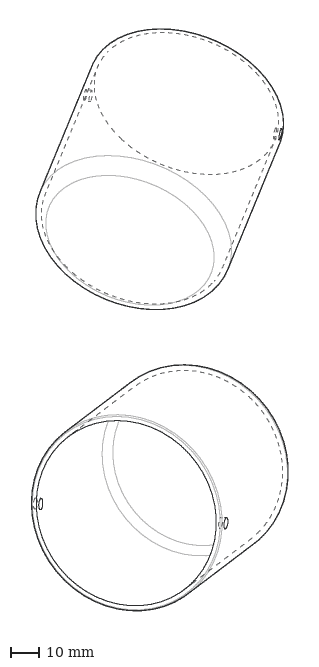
import cadquery as cq

outer_diameter = 72.0
length = 72.0
wall = 2.0
base_round = 5.0
rim_round = 0.5

hole_diameter = 4.0
hole_from_rim = 4.5
hole_height = -1.3

closed_end_y = -length / 2
open_end_y = length / 2
inner_diameter = outer_diameter - 2 * wall


def cylinder_along_y(diameter, start_y, end_y):
    base = cq.Workplane("XZ", origin=(0, start_y, 0))
    return base.circle(diameter / 2).extrude(start_y - end_y)


body = cylinder_along_y(outer_diameter, closed_end_y, open_end_y)
body = body.faces("<Y").edges().fillet(base_round)
body = body.faces(">Y").edges().fillet(rim_round)

cavity = cylinder_along_y(inner_diameter, closed_end_y + wall, open_end_y)
cavity = cavity.faces("<Y").edges().fillet(base_round - wall)

hole = (
    cq.Workplane("YZ", origin=(0, open_end_y - hole_from_rim, hole_height))
    .circle(hole_diameter / 2)
    .extrude(outer_diameter, both=True)
)

result = body.cut(cavity).cut(hole)